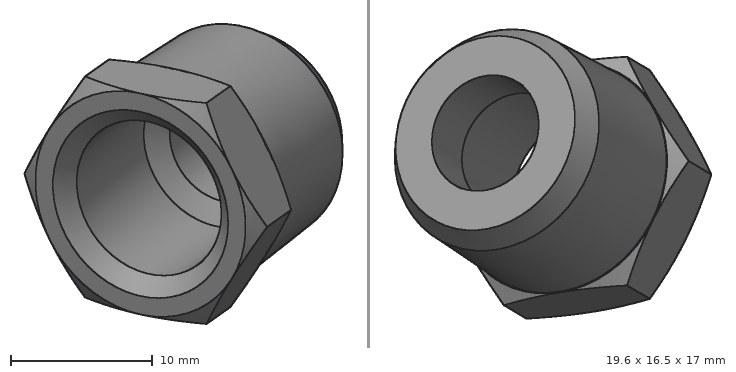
import cadquery as cq
import math

across_corners = 19.63
across_flats = across_corners * math.cos(math.pi / 6)
head_length = 5.0
corner_chamfer_angle = 30.0

total_length = 16.5
spigot_root_radius = 8.45
spigot_end_radius = 8.15
tip_radius = 7.15
tip_length = 1.77

mouth_radius = 7.09
socket_radius = 5.85
mouth_angle = 45.0
socket_depth = 11.0
through_radius = 4.25
drill_cone_angle = 60.0


def revolve_profile(points):
    """Revolve a closed (radius, Y) outline about the Y axis."""
    return cq.Workplane("XY").polyline(points).close().revolve(360, (0, 0, 0), (0, 1, 0))


def hexagon_head():
    """Hexagonal prism with the corners turned off conically at both ends."""
    prism = (
        cq.Workplane("XZ")
        .polygon(6, across_corners)
        .extrude(-head_length)
    )
    corner_radius = across_corners / 2
    flat_radius = across_flats / 2
    drop = (corner_radius - flat_radius) * math.tan(math.radians(corner_chamfer_angle))
    turned_envelope = revolve_profile([
        (0, 0),
        (flat_radius, 0),
        (corner_radius, drop),
        (corner_radius, head_length - drop),
        (flat_radius, head_length),
        (0, head_length),
    ])
    return prism.intersect(turned_envelope)


def spigot():
    """Slightly tapered cylinder with a steeper conical tip."""
    return revolve_profile([
        (0, 0),
        (spigot_root_radius, 0),
        (spigot_root_radius, head_length),
        (spigot_end_radius, total_length - tip_length),
        (tip_radius, total_length),
        (0, total_length),
    ])


def bore():
    """Countersunk socket with a conical floor opening into the through hole."""
    mouth_depth = (mouth_radius - socket_radius) / math.tan(math.radians(mouth_angle))
    cone_length = (socket_radius - through_radius) / math.tan(math.radians(drill_cone_angle))
    return revolve_profile([
        (0, 0),
        (mouth_radius, 0),
        (socket_radius, mouth_depth),
        (socket_radius, socket_depth),
        (through_radius, socket_depth + cone_length),
        (through_radius, total_length),
        (0, total_length),
    ])


result = hexagon_head().union(spigot()).cut(bore())